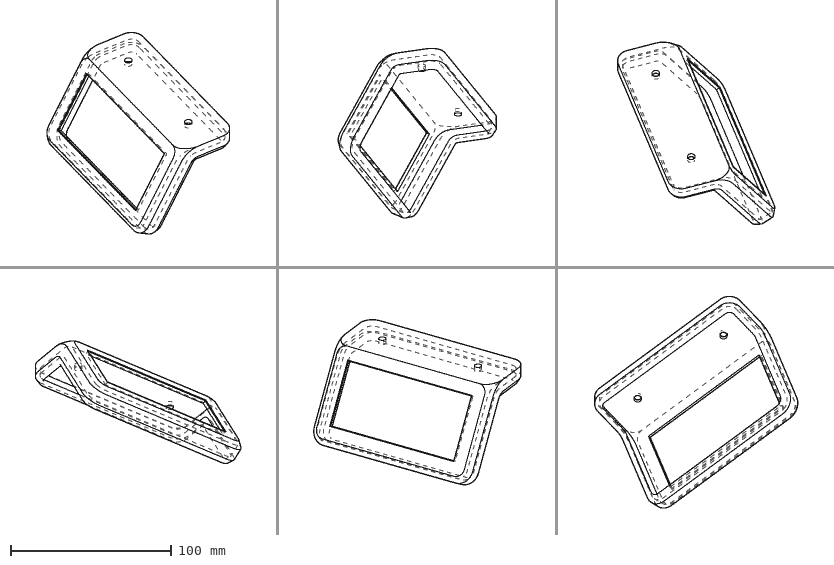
import cadquery as cq
import math

width = 116.0
top_length = 40.0
front_length = 60.0
tilt = math.radians(60)
wall = 3.0
front_skin = 2.5
straight_depth = 8.2
total_depth = 12.8
rim_lean = math.radians(30)
front_chamfer = 4.0
rear_corner = 8.7
front_corner = 5.8
bend_radius = 14.5
inner_bend = 11.6

window_width = 90.0
window_top = 8.8
window_bottom = 50.7
window_chamfer = 0.5

hole_diameter = 4.6
hole_spacing = 70.1
hole_setback = 20.0

half = width / 2
lower_corner = front_corner + front_chamfer
panel_end = front_length + front_chamfer
panel_depth = front_chamfer + straight_depth
panel = cq.Plane(
    origin=(0, -top_length, 0),
    xDir=(1, 0, 0),
    normal=(0, math.sin(tilt), -math.cos(tilt)),
)
SIDE_PLANE = "YZ"


def on_panel(x, along, depth):
    """Point given by distance down the front panel and depth behind its face."""
    return panel.toWorldCoords((x, along, depth))


def crossing(z, depth):
    """Y where the level z meets the plane at this depth behind the front face."""
    return -top_length + (depth + z * math.cos(tilt)) / math.sin(tilt)


axis_y = crossing(-bend_radius, front_chamfer + bend_radius)
axis_z = -bend_radius
bend_along = panel.toLocalCoords(cq.Vector(0, axis_y, axis_z)).y


def bend_middle(radius):
    """Point halfway around an arc about the bend axis, as (Y, Z)."""
    middle = (math.pi + tilt) / 2
    return axis_y + radius * math.cos(middle), axis_z + radius * math.sin(middle)


def yz(point):
    return point.y, point.z


def make_corner_relief():
    """Piece removed where the side face blends into the bend edge at +X."""
    rim_x = half - front_chamfer
    edge_x = rim_x - front_corner
    diagonal = math.sqrt(0.5)
    blend_length = axis_y + top_length
    side_start = cq.Vector(half, axis_y, 0)
    side_middle = cq.Vector(half, *bend_middle(bend_radius))
    side_end = on_panel(half, bend_along, front_chamfer)
    edge_end = cq.Vector(edge_x, -top_length, 0)
    edge_corner = cq.Vector(half, -top_length, 0)
    rim_end = on_panel(rim_x, bend_along, 0)
    rim_corner = on_panel(half, bend_along, 0)
    top_middle = cq.Vector(
        edge_x + (half - edge_x) * diagonal, axis_y - blend_length * diagonal, 0
    )
    rim_middle = on_panel(
        edge_x + front_corner * diagonal, bend_along * (1 - diagonal), 0
    )

    line = cq.Edge.makeLine
    spline = cq.Edge.makeSpline
    across = cq.Vector(1, 0, 0)
    side_arc = cq.Edge.makeThreePointArc(side_start, side_middle, side_end)
    top_arc = spline(
        [edge_end, top_middle, side_start], tangents=[across, cq.Vector(0, 1, 0)]
    )
    rim_arc = spline([edge_end, rim_middle, rim_end], tangents=[across, panel.yDir])
    chamfer_end = line(rim_end, side_end)
    bend_edge = line(edge_end, edge_corner)
    top_side = line(edge_corner, side_start)
    panel_side = line(edge_corner, rim_corner)
    cap_front = line(rim_corner, rim_end)
    cap_side = line(rim_corner, side_end)

    outlines = [
        [top_arc, bend_edge, top_side],
        [rim_arc, cap_front, panel_side, bend_edge],
        [side_arc, cap_side, panel_side, top_side],
        [chamfer_end, cap_side, cap_front],
    ]
    faces = [cq.Face.makeFromWires(cq.Wire.assembleEdges(edges)) for edges in outlines]
    blend = cq.Face.makeNSidedSurface([side_arc, chamfer_end, rim_arc, top_arc], [])
    shell = cq.Shell.makeShell(faces + [blend])
    return cq.Workplane(cq.Solid.makeSolid(shell).fix())


def make_top_block():
    """Top plate and bend, down to the end of the straight rim wall."""
    inner_radius = bend_radius - straight_depth
    block = (
        cq.Workplane(SIDE_PLANE)
        .moveTo(0, 0)
        .lineTo(-top_length, 0)
        .lineTo(*yz(on_panel(0, bend_along, 0)))
        .lineTo(*yz(on_panel(0, bend_along, panel_depth)))
        .threePointArc(bend_middle(inner_radius), (axis_y, -straight_depth))
        .lineTo(0, -straight_depth)
        .close()
        .extrude(half, both=True)
        .edges("|Z and >Y")
        .fillet(rear_corner)
    )
    relief = make_corner_relief()
    return block.cut(relief).cut(relief.mirror("YZ"))


def make_panel_block():
    """Front panel below the bend, with its chamfered front border."""
    full_height = 2 * panel_end

    outline = cq.Sketch().rect(width, full_height).vertices().fillet(lower_corner)
    base = cq.Workplane(panel).workplane(offset=front_chamfer).placeSketch(outline)
    straight = base.extrude(straight_depth)
    border = base.extrude(-front_chamfer, taper=45)
    below_bend = (
        cq.Workplane(panel)
        .center(0, bend_along + panel_end / 2)
        .rect(width, panel_end)
        .extrude(panel_depth)
    )
    return straight.union(border).intersect(below_bend)


def make_cavity():
    """Open space behind the two skins, inside the straight rim wall."""
    inner_radius = bend_radius - straight_depth
    bend_y = crossing(-wall, front_skin)
    tangent = inner_bend * math.tan(tilt / 2)
    bend_point = cq.Vector(0, bend_y, -wall)
    along = panel.toLocalCoords(bend_point).y
    center_y = bend_y + tangent
    middle = (math.pi + tilt) / 2
    arc_middle = (
        center_y + inner_bend * math.cos(middle),
        -wall - inner_bend + inner_bend * math.sin(middle),
    )
    end = panel_end - wall
    return (
        cq.Workplane(SIDE_PLANE)
        .moveTo(-wall, -wall)
        .lineTo(center_y, -wall)
        .threePointArc(arc_middle, yz(on_panel(0, along + tangent, front_skin)))
        .lineTo(*yz(on_panel(0, end, front_skin)))
        .lineTo(*yz(on_panel(0, end, panel_depth)))
        .lineTo(*yz(on_panel(0, bend_along, panel_depth)))
        .threePointArc(bend_middle(inner_radius), (axis_y, -straight_depth))
        .lineTo(-wall, -straight_depth)
        .close()
        .extrude(half - wall, both=True)
        .edges("|Z and >Y")
        .fillet(rear_corner - wall)
        .edges(cq.selectors.ParallelDirSelector(panel.zDir))
        .edges("<Z")
        .fillet(lower_corner - wall)
    )


def rim_section(origin, inward, travel):
    """Section of the leaning, round-tipped rim wall, ready to move along travel."""
    tip_radius = wall / 2
    tip_depth = total_depth - tip_radius
    outer_depth = tip_depth + tip_radius * math.sin(rim_lean)
    outer_inset = (outer_depth - straight_depth) * math.tan(rim_lean)
    tip_inset = outer_inset + tip_radius * math.cos(rim_lean)
    inner_inset = tip_inset + tip_radius * math.cos(rim_lean)
    inner_depth = tip_depth - tip_radius * math.sin(rim_lean)
    lean_start = straight_depth - wall * math.tan(rim_lean / 2)
    end_inset = tip_inset + tip_radius * math.sin(rim_lean)
    end_depth = tip_depth + tip_radius * math.cos(rim_lean)
    return (
        cq.Workplane(cq.Plane(origin=origin, xDir=inward, normal=travel))
        .moveTo(0, lean_start)
        .lineTo(0, straight_depth)
        .lineTo(outer_inset, outer_depth)
        .threePointArc((end_inset, end_depth), (inner_inset, inner_depth))
        .lineTo(wall, lean_start)
        .close()
    )


def make_half_rim():
    """Rim wall of the +X half, run from the middle of the rear to the lower middle."""
    side = (-1, 0, 0)
    down = panel.yDir
    side_length = -axis_y - rear_corner
    lower_length = panel_end - lower_corner - bend_along

    rear = rim_section((0, 0, 0), (0, -1, 0), (1, 0, 0)).extrude(half - rear_corner)
    rear_turn = rim_section((half - rear_corner, 0, 0), (0, -1, 0), (1, 0, 0)).revolve(
        90, (rear_corner, 0, 0), (rear_corner, 1, 0)
    )
    side_run = rim_section((half, -rear_corner, 0), side, (0, -1, 0)).extrude(side_length)
    bend = rim_section((half, axis_y, 0), side, (0, -1, 0)).revolve(
        math.degrees(tilt), (0, bend_radius, 0), (-1, bend_radius, 0)
    )
    panel_start = on_panel(half, bend_along, front_chamfer)
    panel_run = rim_section(panel_start, side, down).extrude(lower_length)
    turn_start = on_panel(half, panel_end - lower_corner, front_chamfer)
    lower_turn = rim_section(turn_start, side, down).revolve(
        90, (lower_corner, 0, 0), (lower_corner, 1, 0)
    )
    lower_start = on_panel(half - lower_corner, panel_end, front_chamfer)
    lower = rim_section(lower_start, -down, side).extrude(half - lower_corner)
    rim = rear
    for piece in (rear_turn, side_run, bend, panel_run, lower_turn, lower):
        rim = rim.union(piece)
    return rim


def make_window():
    """Window through the front skin with a chamfered front edge."""
    height = window_bottom - window_top
    base = cq.Workplane(panel).center(0, (window_top + window_bottom) / 2)
    opening = base.rect(window_width, height).extrude(panel_depth)
    chamfer = base.rect(
        window_width + 2 * window_chamfer, height + 2 * window_chamfer
    ).extrude(window_chamfer, taper=45)
    return opening.union(chamfer)


def make_holes():
    """Pair of screw holes through the top skin."""
    return (
        cq.Workplane("XY")
        .center(0, -hole_setback)
        .rarray(hole_spacing, 1.2, 2, 1)
        .circle(hole_diameter / 2)
        .extrude(-straight_depth)
    )


half_rim = make_half_rim()
result = make_top_block().union(make_panel_block()).cut(make_cavity())
result = result.union(half_rim).union(half_rim.mirror("YZ"))
result = result.cut(make_window()).cut(make_holes())